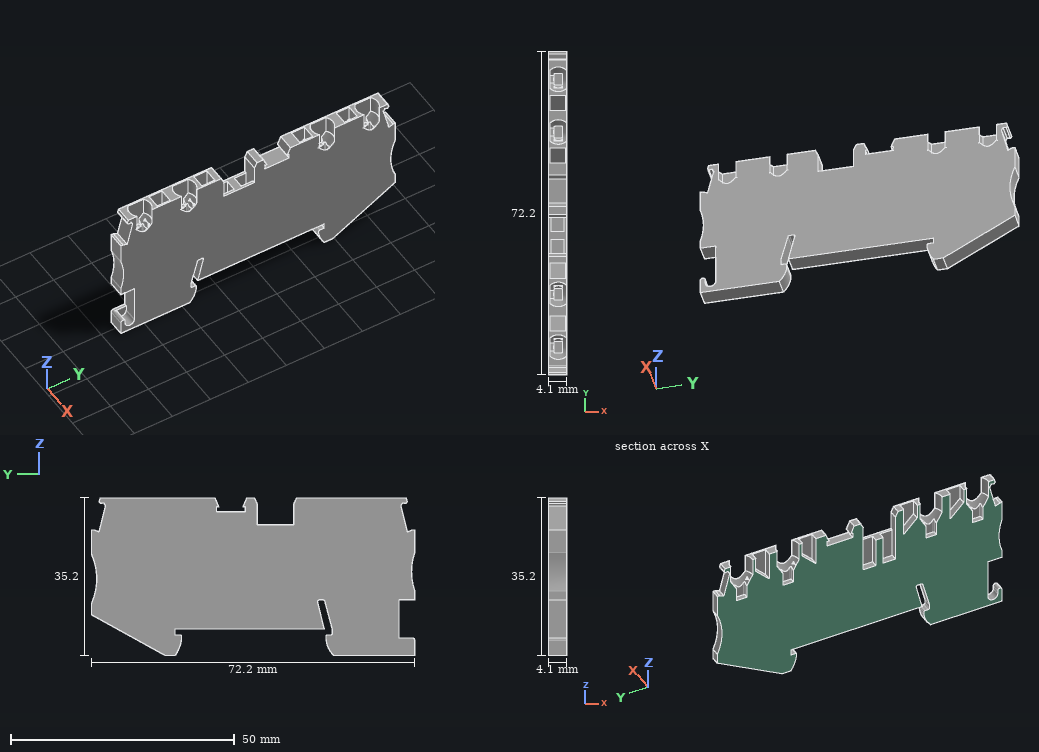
import cadquery as cq
import math

THICKNESS = 4.1
LENGTH = 72.2
HEIGHT = 35.2
HALF_LENGTH = LENGTH / 2
HALF_THICKNESS = THICKNESS / 2

SHOULDER_Z = 28.1
SHOULDER_FLAT = 0.6
GROOVE_FOOT = (34.45, 27.65)
GROOVE_TOP = (33.0, 33.4)
GROOVE_ROOF = (33.35, 34.1)
LIP_HEEL = (34.1, 33.9)
LIP_TIP = (34.45, 34.4)
LIP_TOP_Y = 34.15

PLUS_HOLLOW_TOP_Z = 22.6
PLUS_HOLLOW_BOTTOM_Z = 11.7
PLUS_HOLLOW_DEPTH = 1.15
MINUS_HOLLOW_TOP_Z = 23.0
MINUS_HOLLOW_BOTTOM_Z = 14.45
MINUS_HOLLOW_DEPTH = 0.7

TROUGH_Y = 5.0
TROUGH_HALF_TOP = 3.55
TROUGH_HALF_LIP = 2.7
TROUGH_HALF_FLOOR = 3.2
TROUGH_LIP_Z = 33.2
TROUGH_FLOOR_Z = 32.1

CHANNEL_Y = -5.0
CHANNEL_HALF = 4.05
CHANNEL_CHAMFER_Y = 0.65
CHANNEL_CHAMFER_Z = 1.4
CHANNEL_FLOOR_Z = 29.25

SEAT_Z = 5.9
FOOT_TOP_Z = 4.6
FOOT_CORNER_RADIUS = 0.3
RAMP_START_Z = 9.1
RAMP_END_Y = 19.65
PLUS_FOOT_TOE_Y = 17.4
PLUS_FOOT_TIP = (15.95, 3.6)
PLUS_FOOT_BULGE = (16.45, 1.7)
MINUS_FOOT_TOE_Y = -18.0
MINUS_FOOT_TIP = (-16.25, 3.6)
MINUS_FOOT_BULGE = (-16.75, 1.7)

SLOT_TOP_Z = 12.4
SLOT_CORNER_RADIUS = 0.35
SLOT_INNER_TOP_Y = -14.3
SLOT_INNER_BOTTOM_Y = -15.9
SLOT_OUTER_TOP_Y = -15.9
SLOT_OUTER_BOTTOM_Y = -17.6

RECESS_DEPTH = 3.55
RECESS_BOTTOM_Z = 4.0
RECESS_TOP_Z = 12.4
RECESS_TIP_RADIUS = 0.6

RAIL_WALL = 0.7
BEAD_WIDTH = 2 * RECESS_TIP_RADIUS
GROOVE_ARC_Z = 2.6

FUNNEL_YS = (18.1, 29.9)
TERMINAL_GAP = 5.3
FUNNEL_X = 0.15
FUNNEL_RADIUS = 2.75
FUNNEL_STRAIGHT_DEPTH = 4.3
FUNNEL_BASE_RADIUS = 0.9
FUNNEL_WALL_ANGLE = 60.0
FUNNEL_FLAT_X = -1.7
BORE_LENGTH = 2.6
BORE_MIN_X = -0.8
BORE_MAX_X = 1.1
BORE_CORNER_RADIUS = 0.2
BORE_DEPTH = 10.1
RAMP_LENGTH = 0.65
RAMP_ANGLE = 30.0
STEP_WIDTH = 1.7
STEP_DEPTH = 7.2
TOOL_POCKET_SIDE = 3.4
TOOL_POCKET_SHALLOW_DEPTH = 3.6
TOOL_POCKET_DEEP_DEPTH = TOOL_POCKET_SHALLOW_DEPTH + TOOL_POCKET_SIDE

BRIDGE_POCKET_LENGTH = 3.1
BRIDGE_POCKET_WIDTH = 2.9
BRIDGE_POCKET_DEPTH = 7.2


def box(x_min, x_max, y_min, y_max, z_min, z_max):
    size = (x_max - x_min, y_max - y_min, z_max - z_min)
    return cq.Workplane("XY").box(*size, centered=False).translate((x_min, y_min, z_min))


def yz_prism(points, x_min, x_max):
    return cq.Workplane("YZ", origin=(x_min, 0, 0)).polyline(points).close().extrude(x_max - x_min)


def plain_body():
    """Plate up to the full height, without the latch grooves and top openings."""
    plus_hollow_mid = (PLUS_HOLLOW_TOP_Z + PLUS_HOLLOW_BOTTOM_Z) / 2
    minus_hollow_mid = (MINUS_HOLLOW_TOP_Z + MINUS_HOLLOW_BOTTOM_Z) / 2
    return (
        cq.Workplane("YZ", origin=(-HALF_THICKNESS, 0, 0))
        .moveTo(HALF_LENGTH, HEIGHT)
        .lineTo(HALF_LENGTH, PLUS_HOLLOW_TOP_Z)
        .threePointArc(
            (HALF_LENGTH - PLUS_HOLLOW_DEPTH, plus_hollow_mid),
            (HALF_LENGTH, PLUS_HOLLOW_BOTTOM_Z),
        )
        .lineTo(HALF_LENGTH, RAMP_START_Z)
        .lineTo(RAMP_END_Y, 0)
        .lineTo(PLUS_FOOT_TOE_Y, 0)
        .threePointArc(PLUS_FOOT_BULGE, PLUS_FOOT_TIP)
        .lineTo(PLUS_FOOT_TIP[0], FOOT_TOP_Z)
        .lineTo(PLUS_FOOT_TOE_Y, FOOT_TOP_Z)
        .lineTo(PLUS_FOOT_TOE_Y, SEAT_Z)
        .lineTo(SLOT_INNER_BOTTOM_Y, SEAT_Z)
        .lineTo(SLOT_INNER_TOP_Y, SLOT_TOP_Z)
        .lineTo(SLOT_OUTER_TOP_Y, SLOT_TOP_Z)
        .lineTo(SLOT_OUTER_BOTTOM_Y, SEAT_Z)
        .lineTo(SLOT_OUTER_BOTTOM_Y, FOOT_TOP_Z)
        .lineTo(MINUS_FOOT_TIP[0], FOOT_TOP_Z)
        .lineTo(*MINUS_FOOT_TIP)
        .threePointArc(MINUS_FOOT_BULGE, (MINUS_FOOT_TOE_Y, 0))
        .lineTo(-HALF_LENGTH, 0)
        .lineTo(-HALF_LENGTH, MINUS_HOLLOW_BOTTOM_Z)
        .threePointArc(
            (MINUS_HOLLOW_DEPTH - HALF_LENGTH, minus_hollow_mid),
            (-HALF_LENGTH, MINUS_HOLLOW_TOP_Z),
        )
        .lineTo(-HALF_LENGTH, HEIGHT)
        .close()
        .extrude(THICKNESS)
    )


def latch_groove():
    """Open space above the +Y shoulder, shaping the slanted groove and the lip over it."""
    points = [
        (HALF_LENGTH, HEIGHT),
        (HALF_LENGTH, SHOULDER_Z),
        (HALF_LENGTH - SHOULDER_FLAT, SHOULDER_Z),
        GROOVE_FOOT,
        GROOVE_TOP,
        GROOVE_ROOF,
        LIP_HEEL,
        LIP_TIP,
        (LIP_TOP_Y, HEIGHT),
    ]
    return yz_prism(points, -HALF_THICKNESS, HALF_THICKNESS)


def trough():
    half_outline = [
        (TROUGH_HALF_TOP, HEIGHT),
        (TROUGH_HALF_LIP, TROUGH_LIP_Z),
        (TROUGH_HALF_FLOOR, TROUGH_LIP_Z),
        (TROUGH_HALF_FLOOR, TROUGH_FLOOR_Z),
    ]
    return symmetric_cut(TROUGH_Y, half_outline)


def channel():
    half_outline = [
        (CHANNEL_HALF + CHANNEL_CHAMFER_Y, HEIGHT),
        (CHANNEL_HALF, HEIGHT - CHANNEL_CHAMFER_Z),
        (CHANNEL_HALF, CHANNEL_FLOOR_Z),
    ]
    return symmetric_cut(CHANNEL_Y, half_outline)


def symmetric_cut(center_y, half_outline):
    """Full-thickness prism whose outline is mirrored about center_y."""
    plus_side = [(center_y + y, z) for y, z in half_outline]
    minus_side = [(center_y - y, z) for y, z in reversed(half_outline)]
    return yz_prism(plus_side + minus_side, -HALF_THICKNESS, HALF_THICKNESS)


def end_recess():
    """Recess in the -Y end."""
    floor_y = RECESS_DEPTH - HALF_LENGTH
    return box(-HALF_THICKNESS, HALF_THICKNESS, -HALF_LENGTH, floor_y, RECESS_BOTTOM_Z, RECESS_TOP_Z)


def bead_groove():
    """Groove between the recess wall and the bead, rounding the inner side of the bead."""
    bead_y = BEAD_WIDTH - HALF_LENGTH
    crest_y = RECESS_TIP_RADIUS - HALF_LENGTH
    wall_y = RECESS_DEPTH - HALF_LENGTH
    groove_radius = (wall_y - bead_y) / 2
    shoulder_z = RECESS_BOTTOM_Z - RECESS_TIP_RADIUS
    arc_offset = RECESS_TIP_RADIUS * math.sqrt(0.5)
    return (
        cq.Workplane("YZ", origin=(RAIL_WALL - HALF_THICKNESS, 0, 0))
        .moveTo(crest_y, RECESS_BOTTOM_Z)
        .threePointArc((crest_y + arc_offset, shoulder_z + arc_offset), (bead_y, shoulder_z))
        .lineTo(bead_y, GROOVE_ARC_Z)
        .threePointArc((bead_y + groove_radius, GROOVE_ARC_Z - groove_radius), (wall_y, GROOVE_ARC_Z))
        .lineTo(wall_y, RECESS_BOTTOM_Z)
        .close()
        .extrude(THICKNESS - RAIL_WALL)
    )


def x_edge_at(y, z):
    """Selector for the edge along X nearest to (y, z)."""
    return cq.selectors.NearestToPointSelector((0, y, z))


def wire_funnel(center_y):
    """Straight mouth open to the +X face, cone, side step, sloped entry and rectangular bore."""
    cone_top_z = HEIGHT - FUNNEL_STRAIGHT_DEPTH
    cone_height = (FUNNEL_RADIUS - FUNNEL_BASE_RADIUS) * math.tan(math.radians(FUNNEL_WALL_ANGLE))
    cone_base_z = cone_top_z - cone_height
    profile = [
        (0, HEIGHT),
        (FUNNEL_RADIUS, HEIGHT),
        (FUNNEL_RADIUS, cone_top_z),
        (FUNNEL_BASE_RADIUS, cone_base_z),
        (0, cone_base_z),
    ]
    funnel = (
        cq.Workplane("XZ").polyline(profile).close().revolve(360, (0, 0), (0, 1))
        .translate((FUNNEL_X, center_y, 0))
    )
    keep = box(
        FUNNEL_FLAT_X, FUNNEL_X + FUNNEL_RADIUS,
        center_y - FUNNEL_RADIUS, center_y + FUNNEL_RADIUS,
        cone_base_z, HEIGHT,
    )
    funnel = funnel.intersect(keep)

    step = box(
        FUNNEL_FLAT_X, FUNNEL_X,
        center_y - STEP_WIDTH / 2, center_y + STEP_WIDTH / 2,
        HEIGHT - STEP_DEPTH, cone_top_z,
    )

    bore_half = BORE_LENGTH / 2
    bore = box(
        BORE_MIN_X, BORE_MAX_X,
        center_y - bore_half, center_y + bore_half,
        HEIGHT - BORE_DEPTH, cone_top_z,
    ).edges("|Z").fillet(BORE_CORNER_RADIUS)

    slope = math.tan(math.radians(FUNNEL_WALL_ANGLE))
    entry_y = center_y - bore_half - RAMP_LENGTH
    entry_radius = bore_half + RAMP_LENGTH
    entry_z = cone_base_z + (entry_radius - FUNNEL_BASE_RADIUS) * slope
    entry = yz_prism(
        [
            (center_y, cone_top_z),
            (entry_y, cone_top_z),
            (entry_y, entry_z),
            (center_y - bore_half, entry_z - RAMP_LENGTH * math.tan(math.radians(RAMP_ANGLE))),
            (center_y, entry_z),
        ],
        BORE_MIN_X, BORE_MAX_X,
    )
    return funnel.union(step).union(bore).union(entry)


def tool_pocket(center_y):
    """Square pocket with a 45 degree floor that is deepest toward the middle of the plate."""
    half = TOOL_POCKET_SIDE / 2
    points = [
        (center_y - half, HEIGHT),
        (center_y + half, HEIGHT),
        (center_y + half, HEIGHT - TOOL_POCKET_SHALLOW_DEPTH),
        (center_y - half, HEIGHT - TOOL_POCKET_DEEP_DEPTH),
    ]
    return yz_prism(points, -half, half)


def bridge_pockets():
    half_width = BRIDGE_POCKET_WIDTH / 2
    y_min = CHANNEL_Y - CHANNEL_HALF
    y_max = CHANNEL_Y + CHANNEL_HALF
    z_min = CHANNEL_FLOOR_Z - BRIDGE_POCKET_DEPTH
    near = box(-half_width, half_width, y_min, y_min + BRIDGE_POCKET_LENGTH, z_min, CHANNEL_FLOOR_Z)
    far = box(-half_width, half_width, y_max - BRIDGE_POCKET_LENGTH, y_max, z_min, CHANNEL_FLOOR_Z)
    return near.union(far)


body = plain_body().cut(end_recess())
body = body.edges(x_edge_at(-HALF_LENGTH, RECESS_BOTTOM_Z)).fillet(RECESS_TIP_RADIUS)
body = body.cut(bead_groove())
for slot_y in (SLOT_INNER_TOP_Y, SLOT_OUTER_TOP_Y):
    body = body.edges(x_edge_at(slot_y, SLOT_TOP_Z)).fillet(SLOT_CORNER_RADIUS)
for foot_y in (PLUS_FOOT_TIP[0], MINUS_FOOT_TIP[0], SLOT_OUTER_BOTTOM_Y):
    body = body.edges(x_edge_at(foot_y, FOOT_TOP_Z)).fillet(FOOT_CORNER_RADIUS)

body = body.cut(latch_groove()).cut(latch_groove().mirror("XZ"))
body = body.cut(trough()).cut(channel()).cut(bridge_pockets())

for funnel_y in FUNNEL_YS:
    terminal = wire_funnel(funnel_y).union(tool_pocket(funnel_y - TERMINAL_GAP))
    body = body.cut(terminal).cut(terminal.mirror("XZ"))

result = body